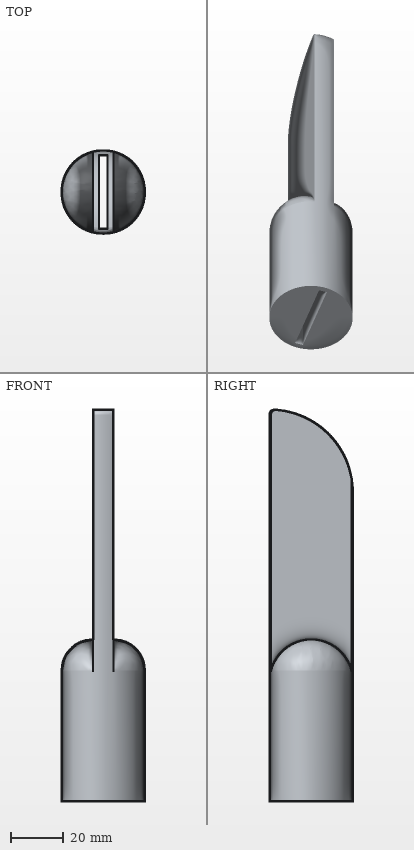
import cadquery as cq
import math

total_height = 150.0
body_diameter = 32.0
body_radius = body_diameter / 2

shoulder_height = 50.0

blade_thickness = 7.8
tip_corner_radius = 2.0
tip_sweep_radius = body_diameter
corner_center_distance = tip_sweep_radius - tip_corner_radius
tip_loss = corner_center_distance - math.sqrt(corner_center_distance**2 - tip_corner_radius**2)
sharp_tip_height = total_height + tip_loss

slot_width = 3.1
end_wall = 2.0
slot_length = body_diameter - 2 * end_wall


def make_handle():
    """Plain cylinder below the blade shoulders."""
    return cq.Workplane("XY").circle(body_radius).extrude(shoulder_height)


def make_shoulder():
    """Domed shoulder on the +X side: a circle segment turned a quarter about its chord."""
    chord_x = blade_thickness / 2
    chord_half_length = math.sqrt(body_radius**2 - chord_x**2)
    return (
        cq.Workplane("XY", origin=(chord_x, 0, shoulder_height))
        .moveTo(0, -chord_half_length)
        .threePointArc((body_radius - chord_x, 0), (0, chord_half_length))
        .close()
        .revolve(90, (0, 0, 0), (0, -1, 0))
    )


def make_blade():
    """Flat blade with cylindrical edges and a swept, rounded tip."""
    profile = (
        cq.Workplane("YZ")
        .moveTo(-body_radius, 0)
        .lineTo(body_radius, 0)
        .lineTo(body_radius, sharp_tip_height - tip_sweep_radius)
        .tangentArcPoint((-body_radius, sharp_tip_height), relative=False)
        .close()
    )
    slab = profile.extrude(blade_thickness / 2, both=True)
    round_stock = cq.Workplane("XY").circle(body_radius).extrude(sharp_tip_height)
    blade = slab.intersect(round_stock)
    front_tip_edge = blade.faces("<Y").edges(">Z")
    return front_tip_edge.fillet(tip_corner_radius)


def make_slot():
    """Rectangular passage from the bottom face to the blade tip."""
    return cq.Workplane("XY").rect(slot_width, slot_length).extrude(sharp_tip_height)


shoulder = make_shoulder()
result = (
    make_handle()
    .union(make_blade())
    .union(shoulder)
    .union(shoulder.mirror("YZ"))
    .cut(make_slot())
)